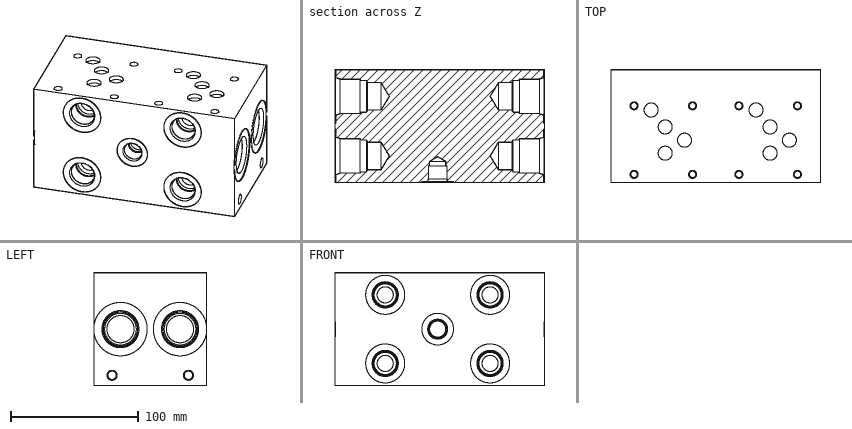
import cadquery as cq
import math

LENGTH = 165.1
SIDE = 88.8
MID_HEIGHT = SIDE / 2

DRILL_POINT_ANGLE = 118.0
SEAT_ANGLE = 15.0
SPOTFACE_DEPTH = 0.7

STATION_OFFSET = 41.3
STATION_XS = (-STATION_OFFSET, STATION_OFFSET)
BOLT_SPACING_X = 46.0
BOLT_YS = (16.0, -38.0)
BOLT_THREAD_DIAMETER = 6.3
BOLT_THREAD_DEPTH = 14.9
BOLT_DRILL_DIAMETER = 5.1
BOLT_DRILL_DEPTH = 18.2
VALVE_PORT_DIAMETER = 11.0
VALVE_PORT_DEPTH = 3.3
VALVE_PORTS = ((-9.5, 12.7), (1.5, -0.7), (16.7, -11.0), (1.5, -21.3))

FRONT_PORT_SHIFT = -1.7
WORK_PORT_SPACING_Z = 54.0

GALLERY_Y = 23.5
BRACKET_HOLE_Y = 30.0
BRACKET_HOLE_Z = 8.1
BRACKET_THREAD_DIAMETER = 8.0
BRACKET_THREAD_DEPTH = 14.9
BRACKET_DRILL_DIAMETER = 6.6
BRACKET_DRILL_DEPTH = 18.2


def cone_depth(diameter):
    """Length of the drill point for a hole of this diameter."""
    return diameter / 2 / math.tan(math.radians(DRILL_POINT_ANGLE / 2))


def turned_cutter(profile):
    """Solid of revolution around -Z from (radius, depth) points that start and end on the axis."""
    points = [(radius, -depth) for radius, depth in profile]
    return cq.Workplane("XZ").polyline(points).close().revolve(axisStart=(0, 0, 0), axisEnd=(0, 1, 0))


def drill(diameter, depth):
    """Blind drill: depth is to the full diameter, the point lies beyond it."""
    radius = diameter / 2
    return turned_cutter([(0, 0), (radius, 0), (radius, depth), (0, depth + cone_depth(diameter))])


def tapped_hole(thread_diameter, thread_depth, drill_diameter, drill_depth):
    """Flat-bottomed thread bore over a deeper tap drill."""
    thread = cq.Workplane("XY").circle(thread_diameter / 2).extrude(-thread_depth)
    return thread.union(drill(drill_diameter, drill_depth))


def threaded_port(spotface, mouth, seat, thread, thread_depth, tap_drill, tap_depth):
    """Spotfaced port whose tapered seal seat leads into a tapped hole; sizes are diameters."""
    seat_depth = SPOTFACE_DEPTH + (mouth - seat) / 2 / math.tan(math.radians(SEAT_ANGLE))
    entry = turned_cutter([
        (0, 0),
        (spotface / 2, 0),
        (spotface / 2, SPOTFACE_DEPTH),
        (mouth / 2, SPOTFACE_DEPTH),
        (seat / 2, seat_depth),
        (0, seat_depth),
    ])
    return entry.union(tapped_hole(thread, thread_depth, tap_drill, tap_depth))


def work_port():
    port = threaded_port(
        spotface=30.7, mouth=20.6, seat=19.3, thread=19.0, thread_depth=14.9, tap_drill=17.5, tap_depth=18.2
    )
    return port.union(drill(diameter=12.7, depth=26.4))


def gauge_port():
    return threaded_port(
        spotface=25.0, mouth=15.7, seat=14.5, thread=14.4, thread_depth=13.2, tap_drill=12.7, tap_depth=16.5
    )


def gallery_port():
    port = threaded_port(
        spotface=42.1, mouth=29.2, seat=27.4, thread=26.9, thread_depth=19.8, tap_drill=25.0, tap_depth=24.8
    )
    return port.union(drill(diameter=21.5, depth=36.3))


def on_top(cutter, x, y):
    return cutter.translate((x, y, SIDE))


def on_front(cutter, x, z):
    return cutter.rotate((0, 0, 0), (1, 0, 0), 90).translate((x, -SIDE / 2, z))


def on_ends(cutter, y, z):
    """Copies of the cutter on the -X and +X faces."""
    left = cutter.rotate((0, 0, 0), (0, 1, 0), -90).translate((-LENGTH / 2, y, z))
    return [left, left.mirror("YZ")]


cutters = []

bolt_hole = tapped_hole(BOLT_THREAD_DIAMETER, BOLT_THREAD_DEPTH, BOLT_DRILL_DIAMETER, BOLT_DRILL_DEPTH)
valve_port = drill(VALVE_PORT_DIAMETER, VALVE_PORT_DEPTH)
for station_x in STATION_XS:
    for bolt_y in BOLT_YS:
        for bolt_x in (-BOLT_SPACING_X / 2, BOLT_SPACING_X / 2):
            cutters.append(on_top(bolt_hole, station_x + bolt_x, bolt_y))
    for port_x, port_y in VALVE_PORTS:
        cutters.append(on_top(valve_port, station_x + port_x, port_y))

for station_x in STATION_XS:
    for rise in (-WORK_PORT_SPACING_Z / 2, WORK_PORT_SPACING_Z / 2):
        cutters.append(on_front(work_port(), station_x + FRONT_PORT_SHIFT, MID_HEIGHT + rise))
cutters.append(on_front(gauge_port(), FRONT_PORT_SHIFT, MID_HEIGHT))

bracket_hole = tapped_hole(
    BRACKET_THREAD_DIAMETER, BRACKET_THREAD_DEPTH, BRACKET_DRILL_DIAMETER, BRACKET_DRILL_DEPTH
)
for side in (-1, 1):
    cutters += on_ends(gallery_port(), side * GALLERY_Y, MID_HEIGHT)
    cutters += on_ends(bracket_hole, side * BRACKET_HOLE_Y, BRACKET_HOLE_Z)

result = cq.Workplane("XY").box(LENGTH, SIDE, SIDE, centered=(True, True, False))
for cutter in cutters:
    result = result.cut(cutter)